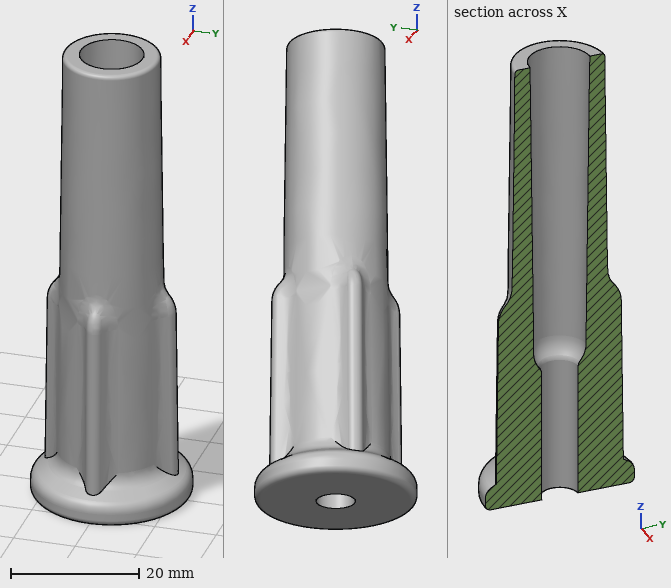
import cadquery as cq
import math

height = 76.45
draft = math.radians(0.72)

tube_base_radius = 8.65
tube_rim_fillet = 0.7

bore_top_radius = 5.05
bore_hole_radius = 3.05
bore_ball_z = 26.0
bore_hole_fillet = 1.1

flange_radius = 12.7
flange_bottom_fillet = 1.0
flange_side_top_z = 2.15
flange_shoulder_radius = 2.1
flange_slope = math.radians(32)
flange_root_fillet = 2.8
flange_root_end_z = 7.35

rib_count = 4
rib_base_reach = 10.85
rib_width = 2.75
rib_crest_flat = 0.03
rib_crest_fillet = (rib_width - rib_crest_flat) / 2
rib_bend_z = 32.35
rib_bend_radius = 4.6
rib_root_fillet = 4.1
rib_bottom_z = 2.3
rib_inner_radius = 4.6
rib_root_tolerance = 0.1


def drafted(base_radius, z):
    """Radius at height z of an outer face that has base_radius at z = 0."""
    return base_radius - z * math.tan(draft)


def polar_point(center, radius, angle):
    """Point on a circle in the profile plane, at an angle measured from the radial direction."""
    return (center[0] + radius * math.cos(angle), center[1] + radius * math.sin(angle))


def revolved(profile):
    """Turn a closed profile drawn in the XZ plane about the Z axis."""
    return profile.close().revolve(360, (0, 0, 0), (0, 1, 0))


def make_tube():
    """Solid tapered tube, rounded at the rim."""
    profile = (
        cq.Workplane("XZ")
        .moveTo(0, rib_bottom_z)
        .lineTo(drafted(tube_base_radius, rib_bottom_z), rib_bottom_z)
        .lineTo(drafted(tube_base_radius, height), height)
        .lineTo(0, height)
    )
    tube = revolved(profile).rotate((0, 0, 0), (0, 0, 1), 180 / rib_count)
    return tube.faces(">Z").edges().fillet(tube_rim_fillet)


def make_rib():
    """Bar along +X whose rounded crest bends inward at the top."""
    bend_reach = drafted(rib_base_reach, rib_bend_z)
    bend_center = bend_reach - rib_bend_radius
    bend_mid = rib_bend_radius * math.sqrt(0.5)
    rib_top_z = rib_bend_z + rib_bend_radius
    bar = (
        cq.Workplane("XZ")
        .moveTo(rib_inner_radius, rib_bottom_z)
        .lineTo(drafted(rib_base_reach, rib_bottom_z), rib_bottom_z)
        .lineTo(bend_reach, rib_bend_z)
        .threePointArc((bend_center + bend_mid, rib_bend_z + bend_mid), (bend_center, rib_top_z))
        .lineTo(rib_inner_radius, rib_top_z)
        .close()
        .extrude(rib_width / 2, both=True)
    )
    crest_edges = bar.faces("<Y or >Y").edges(">X or %CIRCLE")
    return crest_edges.fillet(rib_crest_fillet)


def is_rib_root(edge):
    """True for the curved edges where a rib meets the wall of the tube."""
    center = edge.Center()
    center_radius = math.hypot(center.x, center.y)
    wall_radius = drafted(tube_base_radius, center.z)
    on_wall = rib_inner_radius < center_radius < wall_radius + rib_root_tolerance
    return edge.geomType() == "BSPLINE" and on_wall


def make_ribbed_tube():
    """Tube with the ribs spaced evenly around it and blended into the wall."""
    body = make_tube()
    for index in range(rib_count):
        body = body.union(make_rib().rotate((0, 0, 0), (0, 0, 1), index * 360 / rib_count))
    return body.edges().filter(is_rib_root).fillet(rib_root_fillet)


def make_flange():
    """Disc with a rounded, sloping top that sweeps up into the tube."""
    shoulder_center = (flange_radius - flange_shoulder_radius, flange_side_top_z)
    wall_radius = drafted(tube_base_radius, flange_root_end_z)
    root_center = (wall_radius + flange_root_fillet, flange_root_end_z)
    slope_normal = math.pi / 2 - flange_slope
    root_end_angle = slope_normal + math.pi
    root_mid_angle = (root_end_angle + math.pi) / 2
    profile = (
        cq.Workplane("XZ")
        .lineTo(flange_radius, 0)
        .lineTo(flange_radius, flange_side_top_z)
        .threePointArc(
            polar_point(shoulder_center, flange_shoulder_radius, slope_normal / 2),
            polar_point(shoulder_center, flange_shoulder_radius, slope_normal),
        )
        .lineTo(*polar_point(root_center, flange_root_fillet, root_end_angle))
        .threePointArc(
            polar_point(root_center, flange_root_fillet, root_mid_angle),
            (wall_radius, flange_root_end_z),
        )
        .lineTo(0, flange_root_end_z)
    )
    return revolved(profile).faces("<Z").edges().fillet(flange_bottom_fillet)


def make_bore():
    """Cutter for the through bore, with the mouth of the narrow hole rounded."""
    ball_radius = bore_top_radius - (height - bore_ball_z) * math.tan(draft)
    hole_top_z = bore_ball_z - math.sqrt(ball_radius**2 - bore_hole_radius**2)
    mouth_angle = math.acos(bore_hole_radius / ball_radius)
    ball_center = (0, bore_ball_z)
    profile = (
        cq.Workplane("XZ")
        .lineTo(bore_hole_radius, 0)
        .lineTo(bore_hole_radius, hole_top_z)
        .threePointArc(
            polar_point(ball_center, ball_radius, -mouth_angle / 2),
            (ball_radius, bore_ball_z),
        )
        .lineTo(bore_top_radius, height)
        .lineTo(0, height)
    )
    cutter = revolved(profile)
    mouth = cutter.edges(cq.selectors.NearestToPointSelector((0, 0, hole_top_z)))
    return mouth.fillet(bore_hole_fillet)


result = make_ribbed_tube().union(make_flange()).cut(make_bore()).solids()